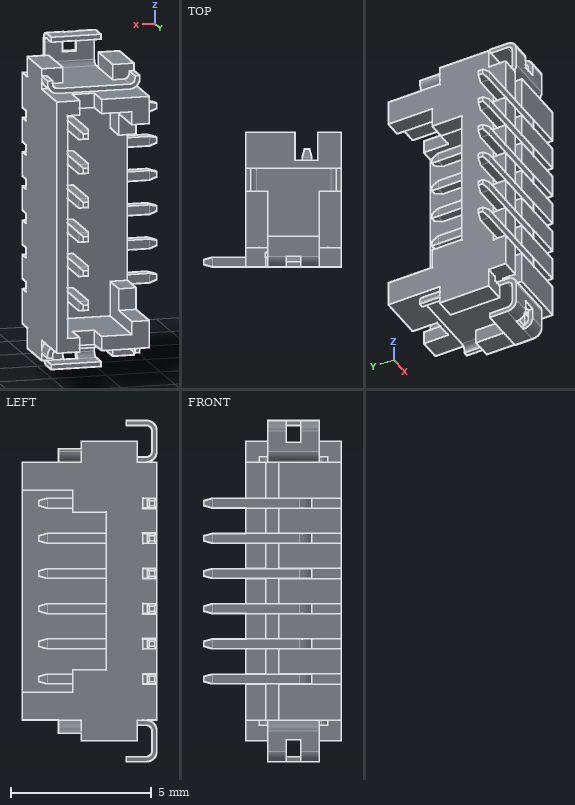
import cadquery as cq


body_width = 3.4
body_depth = 4.8
body_half_length = 4.59
mid_x = body_width / 2

cavity_floor_y = 1.8
cavity_half_length = 4.07
near_wall = 0.65
far_wall = 0.39

window_step_y = 3.0
window_half_wide = 3.6
window_half_narrow = 2.81

notch_start_x = 1.76
notch_end_x = 2.56
notch_floor_y = 3.8

groove_start_x = 0.7
groove_width = 0.47
groove_depth = 0.51

tab_start_y = 0.69
tab_end_y = 2.7
tab_half_length = 5.33
tab_gap = 1.83
tab_width = (body_width - tab_gap) / 2

pin_count = 6
pin_pitch = 1.25
pin_size = 0.35
pin_slot_width = 0.36
pin_tail = 1.5
pin_leg_outer_x = 2.36
pin_leg_end_y = 4.2
pin_inner_radius = 0.16
pin_outer_radius = 0.45
tip_length = 0.3
tip_size = 0.18

clip_half_length = 6.08
clip_thickness = 0.18
clip_inner_radius = 0.2
clip_outer_radius = clip_inner_radius + clip_thickness
clip_flange_end_y = 1.09
clip_hole_width = 0.51
clip_hole_start_z = 5.3
plate_width = 2.44
plate_start_x = mid_x - plate_width / 2
plate_end_x = mid_x + plate_width / 2
plate_top_z = body_half_length + clip_thickness
plate_corner_radius = 0.23
plate_start_y = 0.8
plate_end_y = 3.51
lip_height = 0.47


def block(x0, x1, y0, y1, z0, z1):
    """Box between the given limits."""
    return cq.Workplane("XY").box(x1 - x0, y1 - y0, z1 - z0, centered=False).translate((x0, y0, z0))


def symmetric_block(x0, x1, y0, y1, half_length):
    """Box centred on Z = 0."""
    return block(x0, x1, y0, y1, -half_length, half_length)


def make_housing():
    """Housing with tabs, mating cavity, window, latch notches and groove, before the pin slots."""
    housing = symmetric_block(0, body_width, 0, body_depth, body_half_length)

    for tab_x in (0, body_width - tab_width):
        tab = symmetric_block(tab_x, tab_x + tab_width, tab_start_y, tab_end_y, tab_half_length)
        housing = housing.union(tab)
    plate_slot = block(
        plate_start_x, plate_end_x, tab_start_y, tab_end_y, body_half_length, plate_top_z
    )
    housing = housing.cut(plate_slot).cut(plate_slot.mirror("XY"))

    cavity = symmetric_block(
        near_wall, body_width - far_wall, cavity_floor_y, body_depth, cavity_half_length
    )
    window_lower = symmetric_block(0, near_wall, cavity_floor_y, body_depth, window_half_narrow)
    window_upper = symmetric_block(0, near_wall, window_step_y, body_depth, window_half_wide)
    notch = symmetric_block(notch_start_x, notch_end_x, notch_floor_y, body_depth, body_half_length)
    groove = symmetric_block(
        groove_start_x, groove_start_x + groove_width, 0, groove_depth, body_half_length
    )
    for pocket in (cavity, window_lower, window_upper, notch, groove):
        housing = housing.cut(pocket)
    return housing


def make_tip(plane):
    """Tapered pin tip growing from the given plane."""
    return (
        cq.Workplane(plane)
        .rect(pin_size, pin_size)
        .workplane(offset=tip_length)
        .rect(tip_size, tip_size)
        .loft(combine=True)
    )


def make_pin():
    """L-shaped pin centred on Z = 0, with a tapered tip on both legs."""
    tail_x = tip_length - pin_tail
    leg_y = pin_leg_end_y - tip_length
    tail = symmetric_block(tail_x, pin_leg_outer_x, 0, pin_size, pin_size / 2)
    leg = symmetric_block(pin_leg_outer_x - pin_size, pin_leg_outer_x, 0, leg_y, pin_size / 2)
    inner_corner = (pin_leg_outer_x - pin_size, pin_size, 0)
    outer_corner = (pin_leg_outer_x, 0, 0)
    pin = (
        tail.union(leg)
        .edges(cq.selectors.NearestToPointSelector(inner_corner))
        .fillet(pin_inner_radius)
        .edges(cq.selectors.NearestToPointSelector(outer_corner))
        .fillet(pin_outer_radius)
    )
    tail_plane = cq.Plane(origin=(tail_x, pin_size / 2, 0), xDir=(0, 1, 0), normal=(-1, 0, 0))
    leg_plane = cq.Plane(
        origin=(pin_leg_outer_x - pin_size / 2, leg_y, 0), xDir=(1, 0, 0), normal=(0, 1, 0)
    )
    return pin.union(make_tip(tail_plane)).union(make_tip(leg_plane))


def make_hook():
    """C-shaped solder hook of the clip at the +Z end, filling the gap between the tabs."""
    hook_start_x = tab_width
    hook_end_x = tab_width + tab_gap
    outer = (
        block(hook_start_x, hook_end_x, 0, clip_flange_end_y, body_half_length, clip_half_length)
        .edges("|X and <Y")
        .fillet(clip_outer_radius)
    )
    inner = (
        block(
            hook_start_x,
            hook_end_x,
            clip_thickness,
            clip_flange_end_y,
            plate_top_z,
            clip_half_length - clip_thickness,
        )
        .edges("|X and <Y")
        .fillet(clip_inner_radius)
    )
    hole = block(
        mid_x - clip_hole_width / 2,
        mid_x + clip_hole_width / 2,
        0,
        clip_outer_radius,
        clip_hole_start_z,
        clip_half_length,
    )
    return outer.cut(inner).cut(hole)


def make_retainer():
    """Flat plate held under the tabs, widening into a channel with upturned lips."""
    plate = (
        block(
            plate_start_x, plate_end_x, plate_start_y, plate_end_y, body_half_length, plate_top_z
        )
        .edges("|Z and <Y")
        .fillet(plate_corner_radius)
    )
    lip_top_z = body_half_length + lip_height
    channel = (
        block(0, body_width, tab_end_y, plate_end_y, body_half_length, lip_top_z)
        .edges("|Y and <Z")
        .fillet(clip_outer_radius)
    )
    trough = (
        block(
            clip_thickness, body_width - clip_thickness, tab_end_y, plate_end_y, plate_top_z, lip_top_z
        )
        .edges("|Y and <Z")
        .fillet(clip_inner_radius)
    )
    return plate.union(channel.cut(trough))


result = make_housing()

pin = make_pin()
pin_slot = symmetric_block(0, body_width, 0, groove_depth, pin_slot_width / 2)
for index in range(pin_count):
    pin_z = (index - (pin_count - 1) / 2) * pin_pitch
    result = result.cut(pin_slot.translate((0, 0, pin_z)))
    result = result.union(pin.translate((0, 0, pin_z)))

clip = make_hook().union(make_retainer())
result = result.union(clip).union(clip.mirror("XY"))